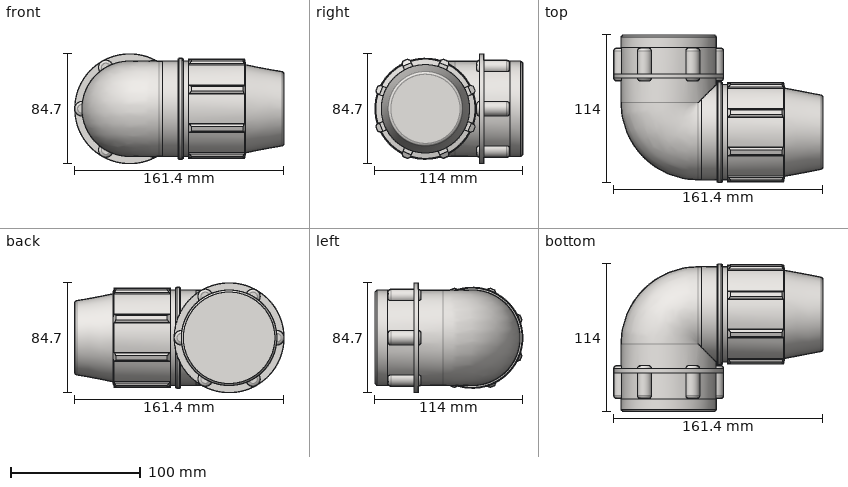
import cadquery as cq
import math

overall_length = 161.4

elbow_radius = 36.8
socket_radius = 36.87
bend_radius = 22.8
step_x = 25.5

sleeve_end_y = 75.0
sleeve_chamfer = 1.6
collar_start_y = 65.2

flange_radius = 42.35
flange_start_y = 41.6
flange_thickness = 3.4
pin_count = 6
pin_radius = 5.6
pin_start_y = 39.5
pin_end_y = 64.9
pin_fillet = 2.3
pin_circle_radius = flange_radius - pin_radius

ring_radius = 38.97
ring_start_x = 37.5
ring_width = 4.0
ring_chamfer_depth = 0.6
ring_chamfer_width = 1.1

nut_radius = 38.2
nut_start_x = 45.2
nut_end_x = 88.6
rib_count = 8
rib_tip_radius = 40.7
rib_width = 7.0
rib_chamfer = 1.6
rib_end_radius = 37.0
rib_start_bevel = 2.6
rib_end_bevel = 2.1

nose_start_x = 89.4
nose_end_x = overall_length - flange_radius
nose_start_radius = 34.0
nose_end_radius = 28.4
nose_fillet = 2.1


def cylinder_x(radius, start, end):
    return cq.Workplane("YZ").workplane(offset=start).circle(radius).extrude(end - start)


def cylinder_y(radius, start, end):
    return cq.Workplane("XZ").workplane(offset=-start).circle(radius).extrude(start - end)


def make_bend():
    """Quarter turn about the line x = y = bend_radius; the section stops at that line."""
    half_chord = math.sqrt(elbow_radius**2 - bend_radius**2)
    section = (
        cq.Workplane("XZ", origin=(0, bend_radius, 0))
        .moveTo(bend_radius, -half_chord)
        .threePointArc((-elbow_radius, 0), (bend_radius, half_chord))
        .close()
    )
    return section.revolve(90, (bend_radius, 0), (bend_radius, 1))


def make_sleeve():
    pipe = cylinder_y(elbow_radius, bend_radius, collar_start_y)
    collar = cylinder_y(socket_radius, collar_start_y, sleeve_end_y)
    collar = collar.faces(">Y").chamfer(sleeve_chamfer)
    flange = cylinder_y(flange_radius, flange_start_y, flange_start_y + flange_thickness)
    return pipe.union(collar).union(flange)


def make_pin(angle):
    pin = cylinder_y(pin_radius, pin_start_y, pin_end_y).edges().fillet(pin_fillet)
    pin = pin.translate((pin_circle_radius, 0, 0))
    return pin.rotate((0, 0, 0), (0, 1, 0), angle)


def make_neck():
    """Neck along X with a ring whose chamfer is wider on the nut side."""
    step = cylinder_x(elbow_radius, bend_radius, step_x)
    neck = cylinder_x(socket_radius, step_x, nut_start_x)
    ring_end_x = ring_start_x + ring_width
    ring_edge_radius = ring_radius - ring_chamfer_depth
    ring = (
        cq.Workplane("XY")
        .moveTo(ring_start_x, 0)
        .lineTo(ring_start_x, ring_edge_radius)
        .lineTo(ring_start_x + ring_chamfer_depth, ring_radius)
        .lineTo(ring_end_x - ring_chamfer_width, ring_radius)
        .lineTo(ring_end_x, ring_edge_radius)
        .lineTo(ring_end_x, 0)
        .close()
        .revolve(360, (0, 0), (1, 0))
    )
    return step.union(neck).union(ring)


def make_nut():
    """Nut body, its sloped shoulder and the tapered nose as one turned solid."""
    profile = (
        cq.Workplane("XY")
        .moveTo(nut_start_x, 0)
        .lineTo(nut_start_x, nut_radius)
        .lineTo(nut_end_x, nut_radius)
        .lineTo(nose_start_x, nose_start_radius)
        .lineTo(nose_end_x, nose_end_radius)
        .lineTo(nose_end_x, 0)
        .close()
    )
    nut = profile.revolve(360, (0, 0), (1, 0))
    return nut.faces(">X").edges().fillet(nose_fillet)


def make_rib(angle):
    """Bar along the nut and over its shoulder, with chamfered long edges and both ends sloped."""
    half_width = rib_width / 2
    half_tip = half_width - rib_chamfer
    cross_section = (
        cq.Workplane("YZ")
        .workplane(offset=nut_start_x)
        .moveTo(-half_width, 0)
        .lineTo(-half_width, rib_tip_radius - rib_chamfer)
        .lineTo(-half_tip, rib_tip_radius)
        .lineTo(half_tip, rib_tip_radius)
        .lineTo(half_width, rib_tip_radius - rib_chamfer)
        .lineTo(half_width, 0)
        .close()
        .extrude(nose_start_x - nut_start_x)
    )
    side_profile = (
        cq.Workplane("XZ")
        .moveTo(nut_start_x, 0)
        .lineTo(nut_start_x, nut_radius)
        .lineTo(nut_start_x + rib_start_bevel, rib_tip_radius)
        .lineTo(nose_start_x - rib_end_bevel, rib_tip_radius)
        .lineTo(nose_start_x, rib_end_radius)
        .lineTo(nose_start_x, 0)
        .close()
        .extrude(rib_width, both=True)
    )
    return cross_section.intersect(side_profile).rotate((0, 0, 0), (1, 0, 0), angle)


result = make_bend().union(make_sleeve()).union(make_neck()).union(make_nut())

for index in range(pin_count):
    result = result.union(make_pin(index * 360 / pin_count))

rib_pitch = 360 / rib_count
for index in range(rib_count):
    result = result.union(make_rib((index + 0.5) * rib_pitch))